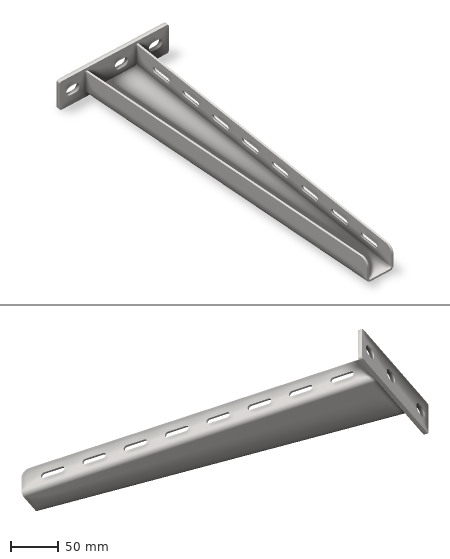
import cadquery as cq
import math

total_length = 433.0

plate_thickness = 5.0
plate_width = 150.0
plate_height = 40.0
plate_corner_radius = 2.5
plate_slot_length = 18.0
plate_slot_height = 12.0
outer_slot_y = 56.7
middle_slot_y = 10.0

arm_length = total_length - plate_thickness
arm_height = 32.0
sheet = 2.5
outer_bend_radius = 5.0
inner_bend_radius = outer_bend_radius - sheet
straight_side_y = 33.0
tapered_side_root_y = -39.5
tapered_side_tip_y = -3.5
tip_corner_radius = 10.0

arm_slot_count = 8
arm_slot_pitch = 50.0
arm_slot_length = 28.0
arm_slot_height = 7.0
first_arm_slot_x = 46.8
arm_slot_z = 0.0


def make_plate():
    """Flat plate with rounded corners and three horizontal slots."""
    plate = (
        cq.Workplane("YZ")
        .rect(plate_width, plate_height)
        .extrude(plate_thickness)
        .edges("|X")
        .fillet(plate_corner_radius)
    )
    slots = (
        cq.Workplane("YZ")
        .pushPoints([(y, 0) for y in (-outer_slot_y, middle_slot_y, outer_slot_y)])
        .slot2D(plate_slot_length, plate_slot_height)
        .extrude(plate_thickness)
    )
    return plate.cut(slots)


def tapered_block(inset, bend_radius):
    """Tapered block inset from both sides and the floor, with its lower long edges rounded."""
    taper_angle = math.atan2(tapered_side_tip_y - tapered_side_root_y, arm_length)
    tapered_inset = inset / math.cos(taper_angle)
    outline = [
        (plate_thickness, straight_side_y - inset),
        (total_length, straight_side_y - inset),
        (total_length, tapered_side_tip_y + tapered_inset),
        (plate_thickness, tapered_side_root_y + tapered_inset),
    ]
    return (
        cq.Workplane("XY", origin=(0, 0, -arm_height / 2 + inset))
        .polyline(outline)
        .close()
        .extrude(arm_height - inset)
        .faces("<Z")
        .edges("not(|Y)")
        .fillet(bend_radius)
    )


def arm_slots():
    """Cutters for the row of slots, reaching through the straight flange only."""
    centres = [(first_arm_slot_x + i * arm_slot_pitch, arm_slot_z) for i in range(arm_slot_count)]
    return (
        cq.Workplane("XZ", origin=(0, straight_side_y, 0))
        .pushPoints(centres)
        .slot2D(arm_slot_length, arm_slot_height)
        .extrude(sheet)
    )


def make_arm():
    """Bent sheet channel with one straight and one tapered flange."""
    channel = tapered_block(0, outer_bend_radius).cut(tapered_block(sheet, inner_bend_radius))
    channel = channel.faces(">X").edges(">Z").fillet(tip_corner_radius)
    return channel.cut(arm_slots())


plate = make_plate()
arm = make_arm()

result = cq.Compound.makeCompound([plate.val(), arm.val()])